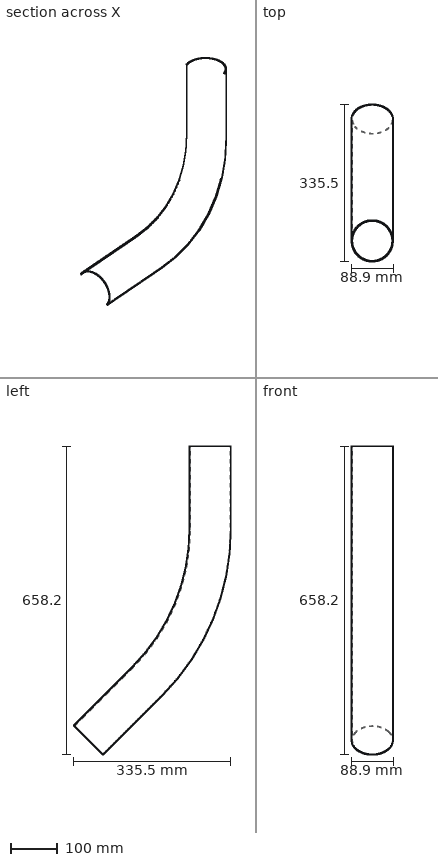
import cadquery as cq
import math

outer_diameter = 88.9
inner_diameter = 84.68
straight_length = 177.8
bend_radius = 457.2
bend_angle = 45.0

bend = math.radians(bend_angle)


def point_on_bend(angle):
    """Centreline (y, z) of the bend, measured from its upper end at the origin."""
    y = bend_radius * (1 - math.cos(angle))
    z = -bend_radius * math.sin(angle)
    return y, z


def make_centreline():
    """Vertical leg, bend towards +Y, then a sloping leg of the same length."""
    bend_middle = point_on_bend(bend / 2)
    bend_end = point_on_bend(bend)
    lower_end = (
        bend_end[0] + straight_length * math.sin(bend),
        bend_end[1] - straight_length * math.cos(bend),
    )
    return (
        cq.Workplane("YZ")
        .moveTo(0, straight_length)
        .lineTo(0, 0)
        .threePointArc(bend_middle, bend_end)
        .lineTo(*lower_end)
    )


def make_tube():
    """Sweep the ring-shaped pipe section from the open top along the centreline."""
    return (
        cq.Workplane("XY", origin=(0, 0, straight_length))
        .circle(outer_diameter / 2)
        .circle(inner_diameter / 2)
        .sweep(make_centreline())
    )


result = make_tube()